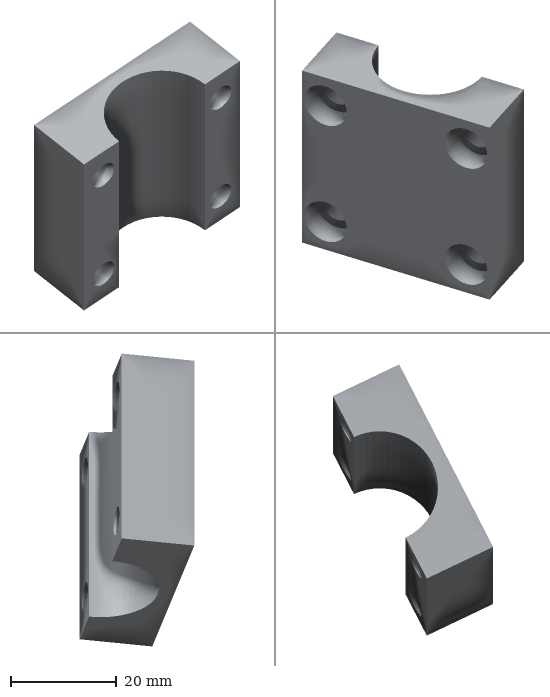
import cadquery as cq

thickness = 14.0
width = 40.0
height = 40.0

saddle_diameter = 22.0

hole_diameter = 5.5
counterbore_diameter = 9.0
counterbore_depth = 5.0
hole_spacing_y = 30.0
hole_spacing_z = 27.0

block = cq.Workplane("XY").box(thickness, width, height)

saddle = (
    cq.Workplane("XY")
    .center(thickness / 2, 0)
    .circle(saddle_diameter / 2)
    .extrude(height / 2, both=True)
)

result = (
    block.cut(saddle)
    .faces("<X")
    .workplane(centerOption="CenterOfBoundBox")
    .rarray(hole_spacing_y, hole_spacing_z, 2, 2)
    .cboreHole(hole_diameter, counterbore_diameter, counterbore_depth)
)